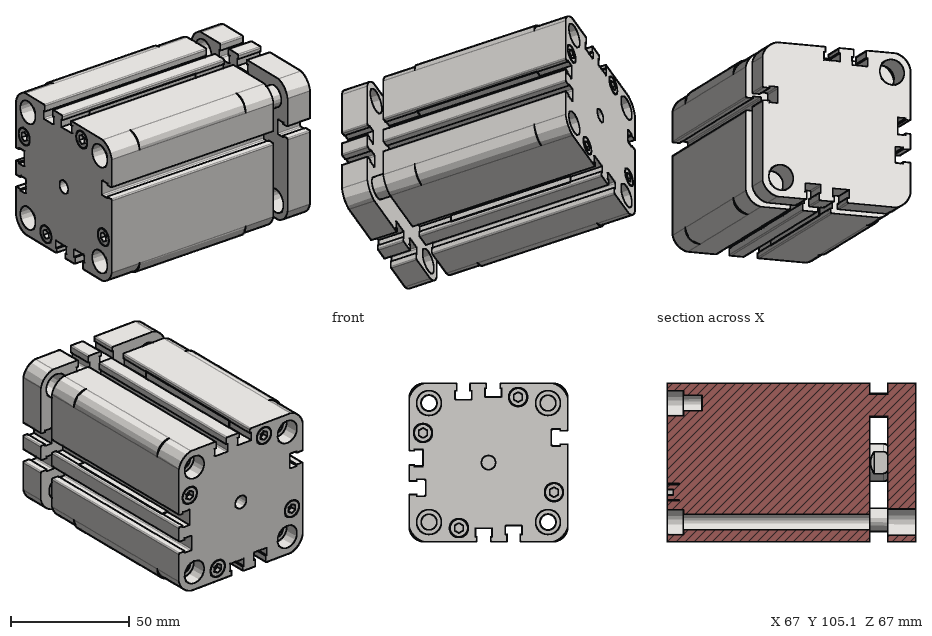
import cadquery as cq
import math

CAP_LENGTH = 14.7
TUBE_LENGTH = 56.2
GAP = 7.5
PLATE_THICKNESS = 12.0
TUBE_START = CAP_LENGTH
TUBE_END = TUBE_START + TUBE_LENGTH
BODY_END = TUBE_END + CAP_LENGTH
PLATE_START = BODY_END + GAP
PLATE_END = PLATE_START + PLATE_THICKNESS

SIDE = 67.0
HALF_SIDE = SIDE / 2
CORNER = 6.6
HOLE_OFFSET = 25.1

MOUTH_ROUNDING = 0.5
DEEP_SLOT_PLACE = -10.6
DEEP_NECK_WIDTH = 5.6
DEEP_NECK_DEPTH = 3.3
DEEP_POCKET_WIDTH = 7.0
DEEP_SLOT_DEPTH = 6.9
DEEP_FLOOR_ROUNDING = 0.5
SHALLOW_SLOT_PLACE = 2.0
SHALLOW_NECK_WIDTH = 5.9
SHALLOW_NECK_DEPTH = 2.2
SHALLOW_POCKET_WIDTH = 7.4
SHALLOW_TUBE_POCKET_WIDTH = 6.6
SHALLOW_SLOT_DEPTH = 5.8
FACE_ANGLES = {"top": 0, "left": 90, "bottom": 180, "right": 270}

HOLE_DIAMETER = 6.6
COUNTERBORE_DIAMETER = 10.5
COUNTERBORE_DEPTH = 6.9
PLATE_HOLE_DIAMETER = 11.0
PORT_DIAMETER = 6.0

SCREW_PLACE = (12.5, 27.6)
SCREW_RECESS_DIAMETER = 8.0
SCREW_HEAD_DIAMETER = 7.5
SCREW_RECESS_DEPTH = 5.0
SOCKET_ACROSS_FLATS = 3.7
SOCKET_DEPTH = 2.6

GUIDE_ROD_DIAMETER = 10.0
GUIDE_ROD_OFFSET = 24.2
PISTON_ROD_RADIUS = 8.0
ROD_ROUNDING_LENGTH = 1.8
ROD_ROUNDING_DROP = 0.6
WRENCH_FLAT_WIDTH = 13.0
ROUND_COLLAR_LENGTH = 0.3


def section_plane(y):
    """Workplane across the axis at y, with local x along X and local y along Z."""
    return cq.Workplane("XZ", origin=(0, y, 0))


def cylinder(places, diameter, y_start, y_end):
    return section_plane(y_start).pushPoints(places).circle(diameter / 2).extrude(y_start - y_end)


def slot(face, place, neck_width, neck_depth, pocket_width, depth, floor_rounding, y_start, y_end):
    """T-slot with a rounded mouth, drawn in the top face and turned about Y to the named face."""
    neck = neck_width / 2
    pocket = pocket_width / 2
    floor = -depth
    outline = (
        cq.Workplane("XZ", origin=(place, y_start, HALF_SIDE))
        .moveTo(-neck - MOUTH_ROUNDING, 0)
        .lineTo(neck + MOUTH_ROUNDING, 0)
        .radiusArc((neck, -MOUTH_ROUNDING), -MOUTH_ROUNDING)
        .lineTo(neck, -neck_depth)
        .lineTo(pocket, -neck_depth)
        .lineTo(pocket, floor)
        .lineTo(-pocket, floor)
        .lineTo(-pocket, -neck_depth)
        .lineTo(-neck, -neck_depth)
        .lineTo(-neck, -MOUTH_ROUNDING)
        .radiusArc((-neck - MOUTH_ROUNDING, 0), -MOUTH_ROUNDING)
        .close()
    )
    cutter = outline.extrude(y_start - y_end)
    if floor_rounding > 0:
        cutter = cutter.faces("<Z").edges("|Y").fillet(floor_rounding)
    return cutter.rotate((0, 0, 0), (0, -1, 0), FACE_ANGLES[face])


def slotted_block(corner_radius, shallow_pocket_width, y_start, y_end):
    """Square block with four rounded corners and the T-slots along its whole length."""
    flat = HALF_SIDE - CORNER
    block = (
        section_plane(y_start)
        .moveTo(-flat, HALF_SIDE)
        .lineTo(flat, HALF_SIDE)
        .radiusArc((HALF_SIDE, flat), corner_radius)
        .lineTo(HALF_SIDE, -flat)
        .radiusArc((flat, -HALF_SIDE), corner_radius)
        .lineTo(-flat, -HALF_SIDE)
        .radiusArc((-HALF_SIDE, -flat), corner_radius)
        .lineTo(-HALF_SIDE, flat)
        .radiusArc((-flat, HALF_SIDE), corner_radius)
        .close()
        .extrude(y_start - y_end)
    )
    for face in FACE_ANGLES:
        block = block.cut(slot(
            face, DEEP_SLOT_PLACE, DEEP_NECK_WIDTH, DEEP_NECK_DEPTH,
            DEEP_POCKET_WIDTH, DEEP_SLOT_DEPTH, DEEP_FLOOR_ROUNDING, y_start, y_end,
        ))
        if face != "right":
            block = block.cut(slot(
                face, SHALLOW_SLOT_PLACE, SHALLOW_NECK_WIDTH, SHALLOW_NECK_DEPTH,
                shallow_pocket_width, SHALLOW_SLOT_DEPTH, 0, y_start, y_end,
            ))
    return block


def piston_rod():
    """Rod with its plate end drawn in by an arc and two wrench flats that run out at 45 degrees."""
    end_radius = PISTON_ROD_RADIUS - ROD_ROUNDING_DROP
    rod = (
        cq.Workplane("XY")
        .moveTo(0, BODY_END)
        .lineTo(PISTON_ROD_RADIUS, BODY_END)
        .lineTo(PISTON_ROD_RADIUS, PLATE_START - ROD_ROUNDING_LENGTH)
        .tangentArcPoint((end_radius, PLATE_START), relative=False)
        .lineTo(0, PLATE_START)
        .close()
        .revolve(360, (0, 0, 0), (0, 1, 0))
    )
    flat = WRENCH_FLAT_WIDTH / 2
    runout_end = BODY_END + ROUND_COLLAR_LENGTH
    flat_start = runout_end + PISTON_ROD_RADIUS - flat
    cutter = (
        cq.Workplane("XY")
        .polyline([
            (flat, PLATE_START),
            (flat, flat_start),
            (PISTON_ROD_RADIUS, runout_end),
            (PISTON_ROD_RADIUS, PLATE_START),
        ])
        .close()
        .extrude(PISTON_ROD_RADIUS, both=True)
    )
    return rod.cut(cutter).cut(cutter.mirror("YZ"))


cap_corner_radius = math.hypot(HALF_SIDE - HOLE_OFFSET, HALF_SIDE - CORNER - HOLE_OFFSET)
front_cap = slotted_block(cap_corner_radius, SHALLOW_POCKET_WIDTH, 0, TUBE_START)
tube = slotted_block(CORNER, SHALLOW_TUBE_POCKET_WIDTH, TUBE_START, TUBE_END)
rear_cap = slotted_block(cap_corner_radius, SHALLOW_POCKET_WIDTH, TUBE_END, BODY_END)
plate = slotted_block(cap_corner_radius, SHALLOW_POCKET_WIDTH, PLATE_START, PLATE_END)
body = front_cap.union(tube).union(rear_cap)

through_places = [(-HOLE_OFFSET, HOLE_OFFSET), (HOLE_OFFSET, -HOLE_OFFSET)]
blind_places = [(HOLE_OFFSET, HOLE_OFFSET), (-HOLE_OFFSET, -HOLE_OFFSET)]
body = body.cut(cylinder(through_places + blind_places, COUNTERBORE_DIAMETER, 0, COUNTERBORE_DEPTH))
body = body.cut(cylinder(through_places, HOLE_DIAMETER, 0, BODY_END))
body = body.cut(cylinder(blind_places, HOLE_DIAMETER, 0, CAP_LENGTH))
plate = plate.cut(cylinder(through_places, PLATE_HOLE_DIAMETER, PLATE_START, PLATE_END))

body = body.cut(cylinder([(0, 0)], PORT_DIAMETER, 0, CAP_LENGTH))

screw_x, screw_z = SCREW_PLACE
screw_places = [(screw_x, screw_z), (-screw_z, screw_x), (-screw_x, -screw_z), (screw_z, -screw_x)]
ring_gap = cylinder(screw_places, SCREW_RECESS_DIAMETER, 0, SCREW_RECESS_DEPTH).cut(
    cylinder(screw_places, SCREW_HEAD_DIAMETER, 0, SCREW_RECESS_DEPTH)
)
body = body.cut(ring_gap)
socket_across_corners = SOCKET_ACROSS_FLATS / math.cos(math.pi / 6)
for x, z in screw_places:
    socket = (
        section_plane(0)
        .polygon(6, socket_across_corners)
        .extrude(-SOCKET_DEPTH)
        .rotate((0, 0, 0), (0, 1, 0), 90)
        .translate((x, 0, z))
    )
    body = body.cut(socket)

guide_places = [(GUIDE_ROD_OFFSET, GUIDE_ROD_OFFSET), (-GUIDE_ROD_OFFSET, -GUIDE_ROD_OFFSET)]
guide_rods = cylinder(guide_places, GUIDE_ROD_DIAMETER, BODY_END, PLATE_START)
result = body.union(plate).union(guide_rods).union(piston_rod())